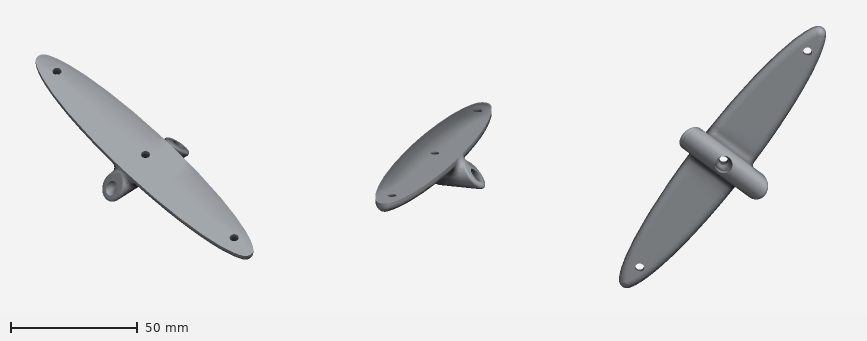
import cadquery as cq
import math

plate_length = 131.5
plate_width = 22.5
plate_thickness = 4.2
plate_edge_radius = 3.0
plate_tip_radius = 3.2
plate_offset = -0.5

screw_hole_diameter = 3.5
screw_hole_spacing = 55.0
access_hole_diameter = 7.0

tube_diameter = 10.5
bore_diameter = 5.0
tube_axis_z = -7.5
tube_length = 43.1
tube_offset = 0.3
front_slope = 53
back_slope = 49
end_radius = 1.0
joint_radius = 3.0

tube_bottom = tube_axis_z - tube_diameter / 2
rim_bottom = plate_edge_radius - plate_thickness


def make_plate():
    half_length = plate_length / 2
    half_width = plate_width / 2
    tip_center = half_length - plate_tip_radius
    half_major = math.sqrt(half_width**2 + tip_center**2 / (1 - (plate_tip_radius / half_width) ** 2))
    touch_x = tip_center * half_major**2 / (half_major**2 - half_width**2)
    touch_y = math.sqrt(plate_tip_radius**2 - (touch_x - tip_center) ** 2)
    touch_angle = math.degrees(math.acos(touch_x / half_major))
    plate = (
        cq.Workplane("XY")
        .moveTo(touch_x, touch_y)
        .ellipseArc(half_major, half_width, touch_angle, 180 - touch_angle)
        .threePointArc((-half_length, 0), (-touch_x, -touch_y))
        .ellipseArc(half_major, half_width, 180 + touch_angle, 360 - touch_angle)
        .threePointArc((half_length, 0), (touch_x, touch_y))
        .close()
        .extrude(-plate_thickness)
    )
    plate = plate.faces("<Z").edges().fillet(plate_edge_radius)
    return plate.translate((0, plate_offset, 0))


def make_tube():
    return (
        cq.Workplane("XZ", origin=(0, tube_offset, tube_axis_z))
        .circle(tube_diameter / 2)
        .extrude(tube_length / 2, both=True)
    )


def blend_joint(body):
    """Fillet the closed seam where the tube leaves the underside and sides of the plate."""
    margin = joint_radius / 2
    half_x = tube_diameter / 2 + margin
    half_y = plate_width / 2 + margin
    around_seam = cq.selectors.BoxSelector(
        (-half_x, -half_y, -plate_thickness - margin),
        (half_x, half_y, rim_bottom),
        boundingbox=True,
    )
    return body.edges(around_seam).fillet(joint_radius)


def slope_ends(body):
    """Cut both tube ends back below the plate rim, then round their outer edges."""
    half_bottom = tube_length / 2
    for side, slope in ((-1, front_slope), (1, back_slope)):
        half_top = half_bottom - (rim_bottom - tube_bottom) / math.tan(math.radians(slope))
        wedge = (
            cq.Workplane("YZ", origin=(0, tube_offset, 0))
            .moveTo(side * half_bottom, tube_bottom)
            .lineTo(side * half_top, rim_bottom)
            .lineTo(side * half_bottom, rim_bottom)
            .close()
            .extrude(tube_diameter, both=True)
        )
        body = body.cut(wedge)
    return body.edges("%ELLIPSE and (not >Z)").fillet(end_radius)


def cut_holes(body):
    bore = (
        cq.Workplane("XZ", origin=(0, tube_offset, tube_axis_z))
        .circle(bore_diameter / 2)
        .extrude(tube_length / 2, both=True)
    )
    screw_holes = (
        cq.Workplane("XY")
        .pushPoints([(step * screw_hole_spacing, 0) for step in (-1, 0, 1)])
        .circle(screw_hole_diameter / 2)
        .extrude(tube_bottom)
    )
    access_hole = (
        cq.Workplane("XY", origin=(0, 0, tube_bottom))
        .circle(access_hole_diameter / 2)
        .extrude(tube_axis_z - tube_bottom)
    )
    return body.cut(bore).cut(screw_holes).cut(access_hole)


body = make_plate().union(make_tube())
body = slope_ends(blend_joint(body))
result = cut_holes(body)